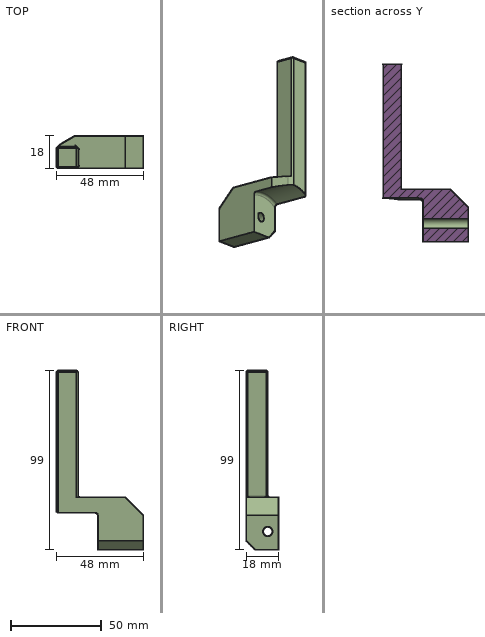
import cadquery as cq
import math

length = 48.0
width = 18.0
height = 99.0

post_size = 12.1
post_chamfer = 1.0
base_fillet = 0.6
post_toe = post_size + base_fillet

arm_top = 29.1
block_left = 22.9
end_chamfer = 10.1
bottom_chamfer = 5.0

flank_break_x = 2.4
flank_break_y = post_size - post_chamfer + flank_break_x
flank_end_x = flank_break_x + (width - flank_break_y) / math.tan(math.radians(30))

arch_center_z = 2.7
arch_radius = 21.4
relief_fillet = 1.5

hole_diameter = 5.0
hole_y = 12.0
hole_z = 10.1


def make_arm():
    """Arm and block: side profile bounded by the plan outline."""
    side = (
        cq.Workplane("XZ")
        .polyline([
            (0, 0),
            (length, 0),
            (length, arm_top - end_chamfer),
            (length - end_chamfer, arm_top),
            (0, arm_top),
        ])
        .close()
        .extrude(-width)
    )
    plan = (
        cq.Workplane("XY")
        .polyline([
            (post_chamfer, 0),
            (length, 0),
            (length, width),
            (flank_end_x, width),
            (flank_break_x, flank_break_y),
            (0, post_size - post_chamfer),
            (0, post_chamfer),
        ])
        .close()
        .extrude(arm_top)
    )
    front_bottom_edge = cq.selectors.BoxSelector(
        (-1, -1, -1), (length + 1, 1, 1), boundingbox=True
    )
    return side.intersect(plan).edges(front_bottom_edge).chamfer(bottom_chamfer)


def make_post_profile(plane, depth):
    """Post silhouette with a chamfered top and a concave fillet at one side of the foot."""
    arc_shift = base_fillet * math.sqrt(0.5)
    return (
        cq.Workplane(plane)
        .moveTo(0, arm_top)
        .lineTo(post_toe, arm_top)
        .threePointArc(
            (post_toe - arc_shift, arm_top + base_fillet - arc_shift),
            (post_size, arm_top + base_fillet),
        )
        .lineTo(post_size, height - post_chamfer)
        .lineTo(post_size - post_chamfer, height)
        .lineTo(post_chamfer, height)
        .lineTo(0, height - post_chamfer)
        .close()
        .extrude(depth)
    )


def make_post():
    """Square post standing on the arm; its corner chamfers also cut the foot fillets."""
    flat_end = post_size - post_chamfer
    toe_inset = post_chamfer + base_fillet
    plan = (
        cq.Workplane("XY")
        .polyline([
            (post_chamfer, 0),
            (flat_end, 0),
            (post_toe, toe_inset),
            (post_toe, flat_end - base_fillet),
            (flat_end - base_fillet, post_toe),
            (toe_inset, post_toe),
            (0, flat_end),
            (0, post_chamfer),
        ])
        .close()
        .extrude(height)
    )
    along_y = make_post_profile("XZ", -post_toe)
    along_x = make_post_profile("YZ", post_toe)
    return along_y.intersect(along_x).intersect(plan)


def make_relief():
    """Arched cutter whose end edge is rounded to leave a fillet against the block."""
    return (
        cq.Workplane("YZ")
        .center(hole_y, arch_center_z)
        .circle(arch_radius)
        .extrude(block_left)
        .faces(">X")
        .edges()
        .fillet(relief_fillet)
    )


def make_hole():
    return (
        cq.Workplane("YZ")
        .center(hole_y, hole_z)
        .circle(hole_diameter / 2)
        .extrude(length)
    )


body = make_arm().union(make_post())
result = body.cut(make_relief()).cut(make_hole())